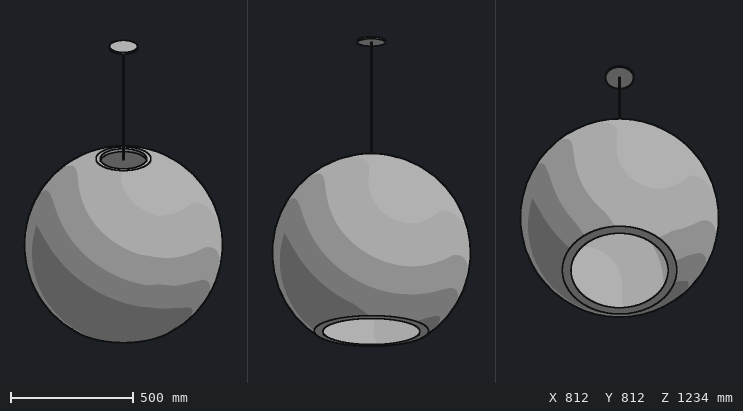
import cadquery as cq
import math

total_height = 1234.0
shade_height = 724.0
shade_radius = 406.0
top_opening_radius = 112.0
shade_wall = 17.0
top_hole_radius = 95.0
bottom_rim_rise = 2.0
canopy_diameter = 116.0
canopy_thickness = 9.0
cord_diameter = 6.0
cord_end_depth = 4.0

canopy_bottom = total_height - canopy_thickness
center_height = shade_height - math.sqrt(shade_radius**2 - top_opening_radius**2)
cord_bottom = shade_height - cord_end_depth
inner_radius = shade_radius - shade_wall


def rim_radius(ball_radius, height):
    """Radius of the circle where a horizontal plane meets a ball of the shade."""
    return math.sqrt(ball_radius**2 - (height - center_height)**2)


def make_keep_volume():
    """Drum that trims the shade: flat on top, slightly conical at the lower rim."""
    inner_edge = rim_radius(inner_radius, 0)
    outer_edge = rim_radius(shade_radius, bottom_rim_rise)
    profile = (
        cq.Workplane("XZ")
        .lineTo(inner_edge, 0)
        .lineTo(outer_edge, bottom_rim_rise)
        .lineTo(2 * shade_radius, bottom_rim_rise)
        .lineTo(2 * shade_radius, shade_height)
        .lineTo(0, shade_height)
        .close()
    )
    return profile.revolve(360, (0, 0), (0, 1))


def make_shade():
    """Hollow ball open at both ends, with a straight-walled hole through the upper rim."""
    ball = cq.Workplane("XY").sphere(shade_radius)
    hollow = cq.Workplane("XY").sphere(inner_radius)
    shell = ball.cut(hollow).translate((0, 0, center_height))
    hole = (
        cq.Workplane("XY")
        .workplane(offset=center_height)
        .circle(top_hole_radius)
        .extrude(shade_height)
    )
    return shell.intersect(make_keep_volume()).cut(hole)


def make_cord():
    """Thin cord hanging from the underside of the canopy."""
    cord = cq.Workplane("XY").workplane(offset=cord_bottom)
    return cord.circle(cord_diameter / 2).extrude(canopy_bottom - cord_bottom)


def make_canopy():
    """Round ceiling plate that carries the cord."""
    plate = cq.Workplane("XY").workplane(offset=canopy_bottom)
    return plate.circle(canopy_diameter / 2).extrude(canopy_thickness)


shade = make_shade()
cord = make_cord()
canopy = make_canopy()

result = cq.Compound.makeCompound([shade.val(), cord.val(), canopy.val()])